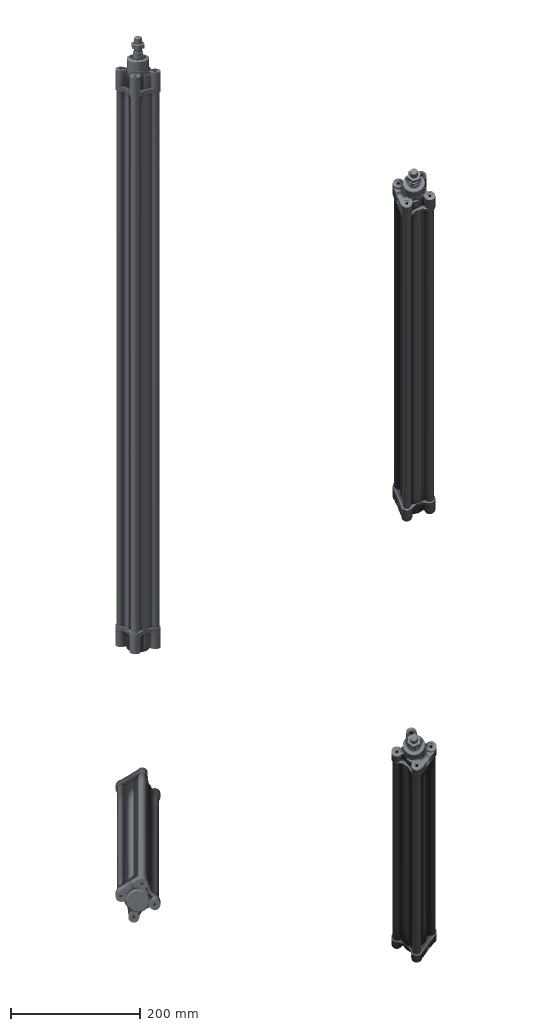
import cadquery as cq
import math

overall_length = 1013.0
spigot_length = 4.0
thread_length = 24.0
collar_clearance = 10.0
collar_length = 20.0
cap_length = 34.0
flange_thickness = 7.0
rod_end_z = overall_length - spigot_length
shoulder_z = rod_end_z - thread_length
collar_end_z = shoulder_z - collar_clearance
front_face_z = collar_end_z - collar_length
tube_end_z = front_face_z - cap_length

cap_width = 55.0
lobe_offset = 19.0
cap_lobe_radius = cap_width / 2 - lobe_offset
core_diameter = 35.0
collar_diameter = 34.4
collar_base_height = 3.0
web_width = 10.6
flange_core_radius = 22.2
flange_notch_half_width = 4.6
end_chamfer = 1.0
seal_recess_diameter = 24.0
seal_recess_depth = 1.5
wiper_lip_diameter = 17.5
wiper_lip_height = 3.1

screw_recess_diameter = 10.6
screw_recess_depth = 1.0
screw_hole_diameter = 4.92
screw_hole_depth = 16.0

port_diameter = 11.45
port_depth = 14.0
port_height = 16.0
block_height = 30.0
relief_diameter = 16.0
relief_depth = 2.7

tube_radius = 21.5
tube_lobe_radius = 6.6
tube_valley_radius = 2.0
groove_diameter = 3.2
groove_offset = 6.0

rod_diameter = 16.0
thread_diameter = 12.0
rod_chamfer = 1.0
flats_width = 13.0
flats_start = 1.0
flats_length = 4.5
nut_width = 19.0
nut_thickness = 6.5
nut_drop = 10.5

lobe_centres = [(x, y) for x in (-lobe_offset, lobe_offset) for y in (-lobe_offset, lobe_offset)]
quarter_turns = (0, 90, 180, 270)
axis_start = (0, 0, 0)
axis_end = (0, 0, 1)


def cylinder(diameter, z, height):
    return cq.Workplane("XY").workplane(offset=z).circle(diameter / 2).extrude(height)


def corner_cylinders(diameter, z, height):
    plane = cq.Workplane("XY").workplane(offset=z)
    return plane.pushPoints(lobe_centres).circle(diameter / 2).extrude(height)


def flange_corner_points():
    """Kite from the axis past both tangent points of one corner lobe."""
    kink_x = flange_notch_half_width
    kink_y = math.sqrt(flange_core_radius**2 - kink_x**2)
    run = lobe_offset - kink_x
    drop = kink_y - lobe_offset
    slope = math.asin(cap_lobe_radius / math.hypot(run, drop)) - math.atan2(drop, run)
    tangent_x = lobe_offset - cap_lobe_radius * math.sin(slope)
    tangent_y = lobe_offset + cap_lobe_radius * math.cos(slope)
    return [
        (0, 0),
        (kink_x, kink_y),
        (tangent_x, tangent_y),
        (lobe_offset, lobe_offset),
        (tangent_y, tangent_x),
        (kink_y, kink_x),
    ]


def add_port_block(cap):
    """Block filling the +Y side between two lobes, with the port and a round relief in its top."""
    block_depth = cap_width / 2
    block = cq.Workplane("XY").rect(2 * lobe_offset, block_depth).extrude(block_height)
    cap = cap.union(block.translate((0, block_depth / 2, 0)))
    side = cq.Workplane("XZ", origin=(0, cap_width / 2, 0))
    cap = cap.cut(side.center(0, port_height).circle(port_diameter / 2).extrude(port_depth))
    relief_z = block_height - relief_depth + relief_diameter / 2
    relief_length = (cap_width - core_diameter) / 2
    return cap.cut(side.center(0, relief_z).circle(relief_diameter / 2).extrude(relief_length))


def make_cap():
    """Cap with its tube side at z = 0 and its outer face at z = cap_length."""
    cap = cylinder(core_diameter, 0, cap_length)
    cap = cap.union(cylinder(2 * flange_core_radius, 0, flange_thickness))
    cap = cap.union(corner_cylinders(2 * cap_lobe_radius, 0, cap_length))
    flange_corner = cq.Workplane("XY").polyline(flange_corner_points()).close().extrude(flange_thickness)
    for angle in quarter_turns:
        cap = cap.union(flange_corner.rotate(axis_start, axis_end, angle))
    web = cq.Workplane("XY").rect(2 * math.hypot(lobe_offset, lobe_offset), web_width).extrude(cap_length)
    for angle in (45, 135):
        cap = cap.union(web.rotate(axis_start, axis_end, angle))
    cap = add_port_block(cap)
    recess_z = cap_length - screw_recess_depth
    hole_z = cap_length - screw_hole_depth
    cap = cap.cut(corner_cylinders(screw_recess_diameter, recess_z, screw_recess_depth))
    return cap.cut(corner_cylinders(screw_hole_diameter, hole_z, screw_hole_depth))


def make_profile_tube():
    """Round tube with four corner lobes and one lengthwise groove on each side."""
    length = tube_end_z - cap_length
    tube = cylinder(2 * tube_radius, cap_length, length)
    tube = tube.union(corner_cylinders(2 * tube_lobe_radius, cap_length, length))
    tube = tube.edges("|Z").fillet(tube_valley_radius)
    groove_y = -math.sqrt(tube_radius**2 - groove_offset**2)
    groove = (
        cq.Workplane("XY")
        .workplane(offset=cap_length)
        .center(groove_offset, groove_y)
        .circle(groove_diameter / 2)
        .extrude(length)
    )
    for angle in quarter_turns:
        tube = tube.cut(groove.rotate(axis_start, axis_end, angle))
    return tube


def make_housing():
    """Rear cap, profile tube and front cap with its rod collar."""
    front_cap = make_cap().translate((0, 0, tube_end_z))
    rear_cap = make_cap().rotate(axis_start, (0, 1, 0), 180).translate((0, 0, cap_length))
    housing = make_profile_tube().union(front_cap).union(rear_cap)
    spigot = cylinder(core_diameter, -spigot_length, spigot_length).faces("<Z").chamfer(end_chamfer)
    collar = cylinder(collar_diameter, front_face_z, collar_length).faces(">Z").chamfer(end_chamfer)
    recess_z = collar_end_z - seal_recess_depth
    collar = collar.cut(cylinder(seal_recess_diameter, recess_z, seal_recess_depth))
    collar = collar.union(cylinder(wiper_lip_diameter, recess_z, wiper_lip_height))
    collar = collar.union(cylinder(core_diameter, front_face_z, collar_base_height))
    housing = housing.union(spigot).union(collar)
    return housing.cut(cylinder(rod_diameter, tube_end_z, rod_end_z - tube_end_z))


def make_rod():
    """Piston rod with wrench flats on four sides and a thinner threaded end."""
    rod = cylinder(rod_diameter, tube_end_z, shoulder_z - tube_end_z)
    flats_z = shoulder_z - flats_start - flats_length
    ring = cylinder(rod_diameter, flats_z, flats_length)
    square = cq.Workplane("XY").workplane(offset=flats_z).rect(flats_width, flats_width).extrude(flats_length)
    rod = rod.cut(ring.cut(square))
    thread = cylinder(thread_diameter, shoulder_z, thread_length).faces(">Z").chamfer(rod_chamfer)
    return rod.union(thread)


def make_nut():
    """Hexagon nut with two of its flats facing along X."""
    corner_diameter = nut_width / math.cos(math.pi / 6)
    nut_z = rod_end_z - nut_drop - nut_thickness
    nut = cq.Workplane("XY").polygon(6, corner_diameter).circle(thread_diameter / 2).extrude(nut_thickness)
    return nut.rotate(axis_start, axis_end, 90).translate((0, 0, nut_z))


housing = make_housing()
rod = make_rod()
nut = make_nut()

result = cq.Compound.makeCompound([housing.val(), rod.val(), nut.val()])